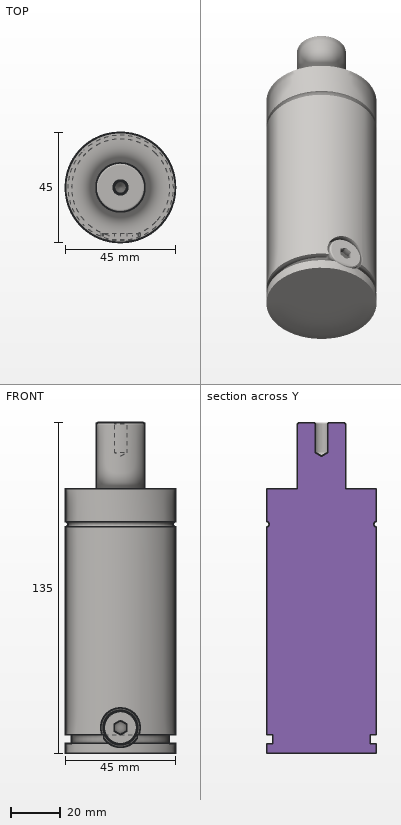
import cadquery as cq
import math

total_height = 135.0
body_diameter = 45.0
body_height = 108.0
rod_diameter = 20.0
rod_edge_radius = 1.0
body_radius = body_diameter / 2

collar_height = 13.5
collar_groove_width = 2.0

flange_height = 4.0
base_groove_width = 3.5
base_groove_diameter = 40.0

hole_diameter = 5.0
hole_mouth_diameter = 6.0
hole_depth = 12.2
drill_point_angle = 118.0

plug_height = 10.5
spotface_diameter = 16.0
spotface_floor = 18.8
plug_diameter = 14.0
plug_face = 21.6
plug_edge_chamfer = 0.4
hex_across_flats = 5.0
hex_depth = 3.0


def make_cylinder(diameter, bottom, height):
    return cq.Workplane("XY").workplane(offset=bottom).circle(diameter / 2).extrude(height)


def make_body():
    rod = make_cylinder(rod_diameter, body_height, total_height - body_height)
    rod = rod.faces(">Z").fillet(rod_edge_radius)
    return make_cylinder(body_diameter, 0, body_height).union(rod)


def make_collar_groove():
    """Ring of circular section, centred on the body surface."""
    groove_radius = collar_groove_width / 2
    groove_height = body_height - collar_height - groove_radius
    section = cq.Workplane("XZ").center(body_radius, groove_height).circle(groove_radius)
    return section.revolve(360, (-body_radius, 0), (-body_radius, 1))


def make_base_groove():
    outer = make_cylinder(body_diameter, flange_height, base_groove_width)
    core = make_cylinder(base_groove_diameter, flange_height, base_groove_width)
    return outer.cut(core)


def make_rod_hole():
    """Countersunk drilled hole with a conical bottom."""
    radius = hole_diameter / 2
    mouth_radius = hole_mouth_diameter / 2
    point_length = radius / math.tan(math.radians(drill_point_angle / 2))
    bottom = total_height - hole_depth
    section = (
        cq.Workplane("XZ")
        .moveTo(0, total_height)
        .lineTo(mouth_radius, total_height)
        .lineTo(radius, total_height - (mouth_radius - radius))
        .lineTo(radius, bottom)
        .lineTo(0, bottom - point_length)
        .close()
    )
    return section.revolve(360, (0, 0), (0, 1))


def plug_plane(distance):
    """Plane facing -Y, centred on the plug at a distance from the body axis."""
    return cq.Workplane("XZ", origin=(0, -distance, plug_height))


def make_spotface():
    return plug_plane(spotface_floor).circle(spotface_diameter / 2).extrude(body_radius - spotface_floor)


def make_plug():
    """Plug rooted inside the body, with a chamfered face and a hex socket."""
    root = base_groove_diameter / 2 - hex_depth
    plug = plug_plane(root).circle(plug_diameter / 2).extrude(plug_face - root)
    return plug.faces("<Y").chamfer(plug_edge_chamfer)


def make_hex_socket():
    across_corners = hex_across_flats / math.cos(math.pi / 6)
    socket = plug_plane(plug_face - hex_depth).polygon(6, across_corners).extrude(hex_depth)
    return socket.rotate((0, 0, plug_height), (0, 1, plug_height), 30)


result = (
    make_body()
    .cut(make_collar_groove())
    .cut(make_base_groove())
    .cut(make_rod_hole())
    .cut(make_spotface())
    .union(make_plug())
    .cut(make_hex_socket())
)